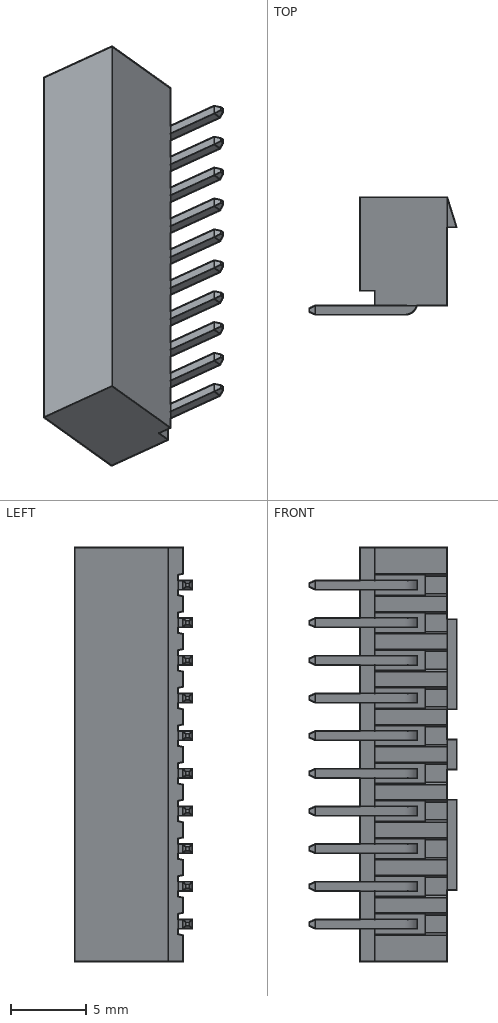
import cadquery as cq


pin_count = 10
housing_length = 27.5
housing_width = 5.8
housing_depth = 7.2
corner_step = 1.0
pitch = housing_length / (pin_count + 1)

slot_mouth = 1.48
slot_draft = 0.22
shallow_slot_depth = 0.33
deep_slot_depth = 0.7
deep_slot_start = 4.35

pin_size = 0.63
pin_drop = 0.6
pin_reach = 3.35
pin_tip_length = 0.4
pin_tip_size = 0.25
bend_outer_radius = 0.82
bend_inner_radius = bend_outer_radius - pin_size
pin_back = 3.82
pin_embed = 0.55

latch_height = 0.63
latch_depth = 2.0
side_latch_length = 6.0
middle_latch_length = 2.0
side_latch_offset = 6.0


def make_housing():
    """Long block with a square step along its pin-side lower corner."""
    profile = [
        (corner_step, 0),
        (housing_width, 0),
        (housing_width, housing_depth),
        (0, housing_depth),
        (0, corner_step),
        (corner_step, corner_step),
    ]
    return cq.Workplane("XY").polyline(profile).close().extrude(housing_length / 2, both=True)


def make_slot_cut(z, start_x, depth):
    """Trapezoidal cut with drafted walls, running from start_x out of the far side."""
    half_mouth = slot_mouth / 2
    half_floor = half_mouth - slot_draft * depth
    profile = [
        (0, z - half_mouth),
        (depth, z - half_floor),
        (depth, z + half_floor),
        (0, z + half_mouth),
    ]
    plane = cq.Workplane("YZ", origin=(start_x, 0, 0))
    return plane.polyline(profile).close().extrude(housing_width - start_x)


def make_pin(z):
    """Square pin with a tapered tip, bent up into the housing."""
    tip_base_x = pin_tip_length - pin_reach
    bend_x = pin_back - bend_outer_radius
    bend_y = bend_outer_radius - pin_drop
    leg_top = shallow_slot_depth + pin_embed

    bent_bar = (
        cq.Workplane("XY", origin=(0, 0, z))
        .moveTo(tip_base_x, -pin_drop)
        .lineTo(bend_x, -pin_drop)
        .radiusArc((pin_back, bend_y), -bend_outer_radius)
        .lineTo(pin_back, leg_top)
        .lineTo(pin_back - pin_size, leg_top)
        .lineTo(pin_back - pin_size, bend_y)
        .radiusArc((bend_x, pin_size - pin_drop), bend_inner_radius)
        .lineTo(tip_base_x, pin_size - pin_drop)
        .close()
        .extrude(pin_size / 2, both=True)
    )
    tip = (
        cq.Workplane("YZ", origin=(tip_base_x, pin_size / 2 - pin_drop, z))
        .rect(pin_size, pin_size)
        .workplane(offset=-pin_tip_length)
        .rect(pin_tip_size, pin_tip_size)
        .loft(ruled=True)
    )
    return bent_bar.union(tip)


def make_latch(z, length):
    """Wedge that rises from the back edge of the housing to a square shoulder."""
    shoulder_y = housing_depth - latch_depth
    profile = [
        (housing_width, housing_depth),
        (housing_width, shoulder_y),
        (housing_width + latch_height, shoulder_y),
    ]
    plane = cq.Workplane("XY", origin=(0, 0, z))
    return plane.polyline(profile).close().extrude(length / 2, both=True)


result = make_housing()

for index in range(pin_count):
    pin_z = (index - (pin_count - 1) / 2) * pitch
    result = result.cut(make_slot_cut(pin_z, 0, shallow_slot_depth))
    result = result.cut(make_slot_cut(pin_z, deep_slot_start, deep_slot_depth))
    result = result.union(make_pin(pin_z))

result = result.union(make_latch(0, middle_latch_length))
for side in (-1, 1):
    result = result.union(make_latch(side * side_latch_offset, side_latch_length))